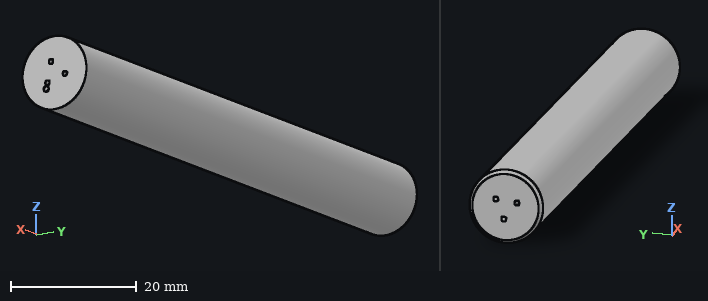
import cadquery as cq
import math

length = 100.0
diameter = 12.0
chamfer_size = 0.6
channel_diameter = 0.8
channel_circle_radius = 2.0
channel_count = 3
first_channel_angle = 38.0
helix_angle = 30.0
helix_pitch = math.pi * diameter / math.tan(math.radians(helix_angle))
pip_height = 0.1
pip_diameter = 0.9
pip_y = -1.5
pip_z = -2.5
start = -length / 2
end = length / 2 - pip_height
rod_length = end - start


def make_rod():
    """Rod on the X axis, chamfered at its -X end."""
    radius = diameter / 2
    half_profile = (
        cq.Workplane("XY")
        .moveTo(start, 0)
        .lineTo(start, radius - chamfer_size)
        .lineTo(start + chamfer_size, radius)
        .lineTo(end, radius)
        .lineTo(end, 0)
        .close()
    )
    return half_profile.revolve(360, (0, 0, 0), (1, 0, 0))


def make_channels():
    """Right-hand helical channels evenly spaced around the rod axis."""
    twist = 360 * rod_length / helix_pitch
    return (
        cq.Workplane("YZ", origin=(start, 0, 0))
        .polarArray(channel_circle_radius, first_channel_angle, 360, channel_count)
        .circle(channel_diameter / 2)
        .twistExtrude(rod_length, twist)
    )


def make_pip():
    """Small round pip standing on the +X end face."""
    return cq.Workplane("YZ", origin=(end, pip_y, pip_z)).circle(pip_diameter / 2).extrude(pip_height)


result = make_rod().union(make_pip()).cut(make_channels())